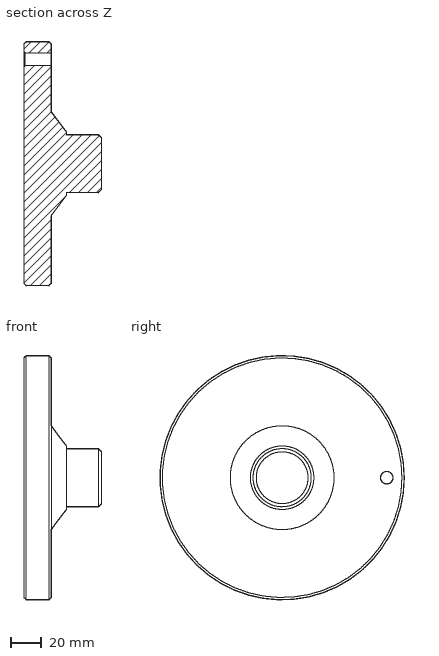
import cadquery as cq

disc_diameter = 160.0
disc_thickness = 18.0
disc_chamfer = 1.6

overall_length = 51.0
hub_diameter = 38.0
hub_chamfer = 2.0
cone_base_diameter = 68.0
cone_end_diameter = 41.6
cone_end_x = 28.0

hole_diameter = 8.0
countersink_diameter = 10.0
countersink_angle = 90
hole_offset_y = 68.5


def disc():
    blank = cq.Workplane("YZ").circle(disc_diameter / 2).extrude(disc_thickness)
    return blank.edges().chamfer(disc_chamfer)


def cone():
    """Tapered transition, reaching from the disc to the hub."""
    profile = [
        (0, 0),
        (0, cone_base_diameter / 2),
        (disc_thickness, cone_base_diameter / 2),
        (cone_end_x, cone_end_diameter / 2),
        (cone_end_x, 0),
    ]
    return cq.Workplane("XY").polyline(profile).close().revolve(360, (0, 0, 0), (1, 0, 0))


def hub():
    blank = cq.Workplane("YZ").circle(hub_diameter / 2).extrude(overall_length)
    return blank.faces(">X").chamfer(hub_chamfer)


def drill_rim_hole(body):
    """Through hole along X, countersunk on the flat face of the disc."""
    flat_face = cq.Plane(origin=(0, hole_offset_y, 0), xDir=(0, 1, 0), normal=(-1, 0, 0))
    return body.copyWorkplane(cq.Workplane(flat_face)).cskHole(
        hole_diameter, countersink_diameter, countersink_angle
    )


result = drill_rim_hole(disc().union(cone()).union(hub()))